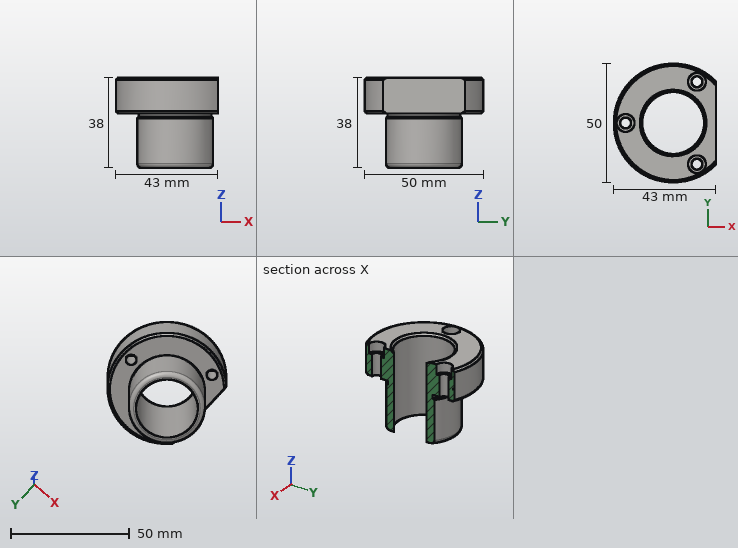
import cadquery as cq

flange_diameter = 49.95
flange_height = 15.05
flange_chamfer = 1.0
flat_distance = 18.05

total_height = 38.0
spigot_diameter = 31.95
spigot_end_fillet = 2.0
neck_diameter = 30.65
neck_height = 1.35
shoulder_chamfer = (spigot_diameter - neck_diameter) / 2

bore_diameter = 25.95
bore_chamfer = 1.0

hole_count = 3
hole_circle_radius = 20.0
first_hole_angle = 60.0
hole_diameter = 4.5
counterbore_diameter = 7.5
counterbore_depth = 4.6

spigot_height = total_height - flange_height - neck_height


def make_spigot():
    """Spigot standing on Z = 0, rounded at the free end, chamfered at the neck."""
    spigot = cq.Workplane("XY").circle(spigot_diameter / 2).extrude(spigot_height)
    spigot = spigot.faces("<Z").edges().fillet(spigot_end_fillet)
    return spigot.faces(">Z").edges().chamfer(shoulder_chamfer)


def make_neck():
    neck = cq.Workplane("XY").workplane(offset=spigot_height)
    return neck.circle(neck_diameter / 2).extrude(neck_height)


def make_flange():
    """Disc chamfered on both rims, then cut by a plain flat."""
    bottom = total_height - flange_height
    flange = cq.Workplane("XY").workplane(offset=bottom).circle(flange_diameter / 2).extrude(flange_height)
    flange = flange.edges().chamfer(flange_chamfer)
    beyond_flat = (
        cq.Workplane("XY")
        .workplane(offset=bottom)
        .center(flat_distance + flange_diameter / 2, 0)
        .rect(flange_diameter, flange_diameter)
        .extrude(flange_height)
    )
    return flange.cut(beyond_flat)


def cut_bore(body):
    bore = cq.Workplane("XY").circle(bore_diameter / 2).extrude(total_height)
    mouth = (
        cq.Workplane("XY")
        .workplane(offset=total_height)
        .circle(bore_diameter / 2 + bore_chamfer)
        .workplane(offset=-bore_chamfer)
        .circle(bore_diameter / 2)
        .loft()
    )
    return body.cut(bore).cut(mouth)


def cut_screw_holes(body):
    top = cq.Workplane("XY").workplane(offset=total_height)
    centers = top.polarArray(hole_circle_radius, first_hole_angle, 360, hole_count)
    holes = centers.circle(hole_diameter / 2).extrude(-flange_height)
    counterbores = centers.circle(counterbore_diameter / 2).extrude(-counterbore_depth)
    return body.cut(holes).cut(counterbores)


body = make_spigot().union(make_neck()).union(make_flange())
result = cut_screw_holes(cut_bore(body))